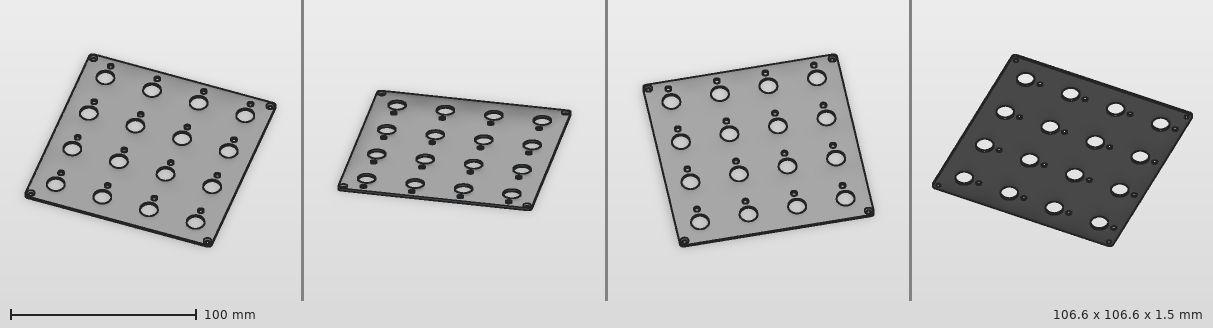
import cadquery as cq

side = 106.6
thickness = 1.5
corner_radius = 2.0

grid_count = 4
pitch = side / grid_count
opening_diameter = 9.7
small_hole_diameter = 2.9
small_hole_offset = 8.5
small_hole_recess_diameter = 3.3
small_hole_recess_depth = 0.4

screw_inset = 2.8
screw_diameter = 2.2
countersink_diameter = 4.3
countersink_angle = 90.0


def make_plate():
    plate = cq.Workplane("XY").box(side, side, thickness, centered=(True, True, False))
    return plate.edges("|Z").fillet(corner_radius)


def top_workplane(plate, offset_y=0):
    return plate.faces(">Z").workplane(origin=(0, offset_y, thickness))


def cut_openings(plate):
    grid = top_workplane(plate).rarray(pitch, pitch, grid_count, grid_count)
    return grid.hole(opening_diameter)


def cut_small_holes(plate):
    """Cut one shallowly counterbored hole on the +Y side of each opening."""
    grid = top_workplane(plate, small_hole_offset).rarray(pitch, pitch, grid_count, grid_count)
    return grid.cboreHole(small_hole_diameter, small_hole_recess_diameter, small_hole_recess_depth)


def cut_corner_screw_holes(plate):
    spacing = side - 2 * screw_inset
    corners = top_workplane(plate).rarray(spacing, spacing, 2, 2)
    return corners.cskHole(screw_diameter, countersink_diameter, countersink_angle)


result = make_plate()
result = cut_openings(result)
result = cut_small_holes(result)
result = cut_corner_screw_holes(result)